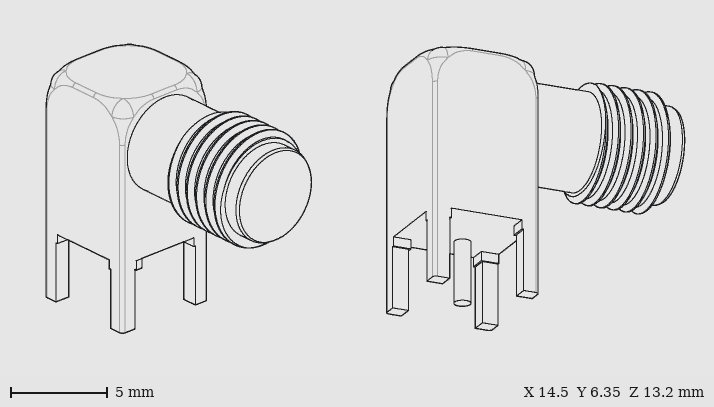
import cadquery as cq
import math


side = 6.0
axis_z = 10.0
height = axis_z + side / 2
edge_radius = 0.2
corner_reach = 2.2
rounding_steps = 4
leg_width = 0.9
leg_height = 3.4
shoulder_width = 1.0
gap_height = 3.9

pin_diameter = 0.9

overall_length = 14.5
neck_diameter = 5.3
thread_start_x = 9.7
thread_end_x = 13.5
tip_diameter = 5.2
tip_chamfer_length = 0.17
tip_chamfer_depth = 0.09

thread_diameter = 6.35
root_diameter = 5.68
thread_pitch = 0.71
crest_width = 0.09
flank_width = 0.19
root_overlap = 0.03
crest_x = 9.93
lead_in_turns = 2

center_x = side / 2
shapes = cq.occ_impl.shapes


def edge_rounding(distance):
    """Edge radius at a distance from the corner, so that the flat faces end in circular arcs."""
    arc_radius = corner_reach - edge_radius
    return corner_reach - math.sqrt(arc_radius**2 - (corner_reach - distance) ** 2)


def rounding_law(starts_at_corner):
    """Pairs of relative edge position and radius for a rounding that widens toward the corner."""
    corner_rounding = corner_reach - (corner_reach - edge_radius) / math.sqrt(2)
    law = shapes.TColgp_HArray1OfPnt2d(1, rounding_steps + 2)
    for index in range(rounding_steps + 2):
        distance = 0.0
        radius = corner_rounding
        step = index if starts_at_corner else rounding_steps + 1 - index
        if step > 0:
            progress = (step - 1) / rounding_steps
            distance = corner_rounding + (corner_reach - corner_rounding) * progress
            radius = edge_rounding(distance)
        position = distance / corner_reach
        law.SetValue(index + 1, shapes.gp_Pnt2d(position if starts_at_corner else 1 - position, radius))
    return law


def corner_cube():
    """Cube filling the top corner of the housing at (-X, -Y)."""
    cube = cq.Workplane("XY").box(corner_reach, corner_reach, corner_reach, centered=False)
    return cube.translate((0, -side / 2, height - corner_reach))


def make_corner():
    """Corner cube whose three outer edges have roundings that widen toward their common vertex."""
    cube = corner_cube().val()
    tip = cq.Vector(0, -side / 2, height)
    fillet = shapes.BRepFilletAPI_MakeFillet(cube.wrapped)
    for edge in cube.Edges():
        starts_at_corner = (edge.startPoint() - tip).Length < edge_radius
        ends_at_corner = (edge.endPoint() - tip).Length < edge_radius
        if starts_at_corner or ends_at_corner:
            fillet.Add(rounding_law(starts_at_corner), edge.wrapped)
    return cq.Workplane(cq.Shape.cast(fillet.Shape()))


def cut_gap(body, margin, top):
    """Cut a gap through the housing in both directions, leaving a margin at each side."""
    width = side - 2 * margin
    for size_x, size_y in ((width, side), (side, width)):
        gap = cq.Workplane("XY").box(size_x, size_y, top, centered=(True, True, False))
        body = body.cut(gap.translate((center_x, 0, 0)))
    return body


def make_housing():
    body = cq.Workplane("XY").box(side, side, height, centered=(False, True, False))
    body = body.edges("|Z or >Z").fillet(edge_radius)
    corner = make_corner()
    corner_space = corner_cube()
    for angle in (0, 90, 180, 270):
        turn = ((center_x, 0, 0), (center_x, 0, 1), angle)
        body = body.cut(corner_space.rotate(*turn)).union(corner.rotate(*turn))
    body = cut_gap(body, shoulder_width, gap_height)
    return cut_gap(body, leg_width, leg_height)


def make_pin():
    return cq.Workplane("XY").center(center_x, 0).circle(pin_diameter / 2).extrude(leg_height)


def cylinder_x(diameter, start, end):
    """Cylinder on the barrel axis between two X positions."""
    return cq.Workplane("YZ", origin=(start, 0, axis_z)).circle(diameter / 2).extrude(end - start)


def make_thread():
    """Helical ridge, trimmed square at both ends of the threaded length."""
    start_x = crest_x - lead_in_turns * thread_pitch
    length = thread_end_x + thread_pitch - start_x
    base_radius = root_diameter / 2 - root_overlap
    half_crest = crest_width / 2
    half_base = half_crest + flank_width * (1 + 2 * root_overlap / (thread_diameter - root_diameter))
    helix = cq.Wire.makeHelix(thread_pitch, length, base_radius)
    ridge = (
        cq.Workplane("XZ")
        .moveTo(base_radius, -half_base)
        .lineTo(thread_diameter / 2, -half_crest)
        .lineTo(thread_diameter / 2, half_crest)
        .lineTo(base_radius, half_base)
        .close()
        .sweep(cq.Workplane(helix), isFrenet=True)
    )
    ridge = ridge.rotate((0, 0, 0), (0, 1, 0), 90).translate((start_x, 0, axis_z))
    threaded_length = cylinder_x(thread_diameter + thread_pitch, thread_start_x, thread_end_x)
    return ridge.intersect(threaded_length)


def make_barrel():
    neck = cylinder_x(neck_diameter, side, thread_start_x)
    core = cylinder_x(root_diameter, thread_start_x, thread_end_x)
    tip = cylinder_x(tip_diameter, thread_end_x, overall_length)
    tip = tip.faces(">X").edges().chamfer(tip_chamfer_length, tip_chamfer_depth)
    return core.union(make_thread()).union(neck).union(tip)


housing = make_housing()
barrel = make_barrel()
pin = make_pin()

result = cq.Compound.makeCompound([housing.val(), barrel.val(), pin.val()])